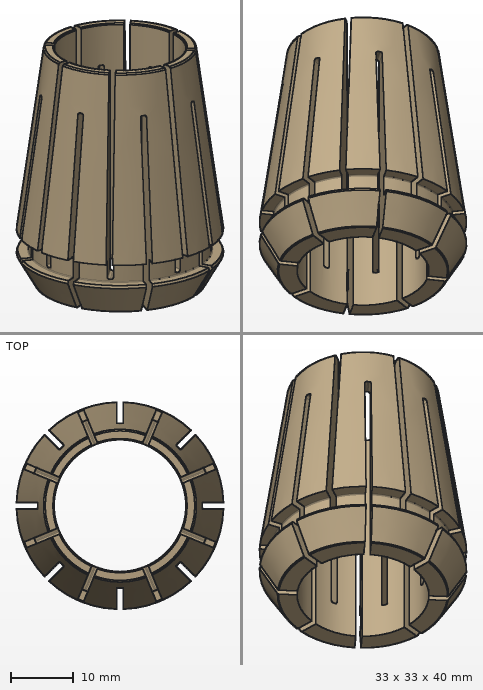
import cadquery as cq
import math

height = 40.0
max_radius = 16.5
bore_radius = 10.5
cone_half_angle = 8.0
collar_half_angle = 30.0

collar_edge_z = 5.1
groove_bottom_z = 5.5
groove_top_z = 9.05

groove_radius = 14.6
groove_corner_radius = 0.1
collar_top_radius = 16.3
rim_chamfer = 0.25
foot_chamfer = 0.1
bore_chamfer = 0.2

slots_per_row = 8
slot_pitch = 360 / slots_per_row
slot_width = 1.0
slot_corner_radius = 0.4
lower_slot_end_z = 33.05
upper_slot_end_z = 5.9
slot_start_radius = bore_radius / 2
slot_reach = max_radius
slot_overrun = 2.0

collar_slope = math.tan(math.radians(collar_half_angle))
cone_slope = math.tan(math.radians(cone_half_angle))
top_radius = max_radius - (height - groove_top_z) * cone_slope
bottom_radius = max_radius - collar_edge_z * collar_slope


def make_body():
    """Revolve the tapered sleeve with its groove and clamping collar."""
    corner = groove_corner_radius
    profile = (
        cq.Workplane("XZ")
        .moveTo(bore_radius, 0)
        .lineTo(bottom_radius - foot_chamfer, 0)
        .lineTo(bottom_radius + foot_chamfer * collar_slope, foot_chamfer)
        .lineTo(max_radius, collar_edge_z)
        .lineTo(collar_top_radius, groove_bottom_z)
        .lineTo(groove_radius + corner, groove_bottom_z)
        .tangentArcPoint((-corner, corner))
        .lineTo(groove_radius, groove_top_z - corner)
        .tangentArcPoint((corner, corner))
        .lineTo(max_radius, groove_top_z)
        .lineTo(top_radius + rim_chamfer * cone_slope, height - rim_chamfer)
        .lineTo(top_radius - rim_chamfer, height)
        .lineTo(bore_radius + bore_chamfer, height)
        .lineTo(bore_radius, height - bore_chamfer)
        .close()
    )
    return profile.revolve(360, (0, 0, 0), (0, 1, 0))


def slot_cutter(open_z, closed_z, angle):
    """Radial cutter with a rounded closed end, turned to the given angle about Z."""
    middle_z = (open_z + closed_z) / 2
    closed_face = ">Z" if closed_z > open_z else "<Z"
    cutter = (
        cq.Workplane("XY")
        .box(slot_reach, slot_width, abs(open_z - closed_z), centered=(False, True, True))
        .translate((slot_start_radius, 0, middle_z))
        .faces(closed_face)
        .edges("|X")
        .fillet(slot_corner_radius)
    )
    return cutter.rotate((0, 0, 0), (0, 0, 1), angle)


result = make_body()
for index in range(slots_per_row):
    lower_angle = index * slot_pitch
    upper_angle = lower_angle + slot_pitch / 2
    result = result.cut(slot_cutter(-slot_overrun, lower_slot_end_z, lower_angle))
    result = result.cut(slot_cutter(height + slot_overrun, upper_slot_end_z, upper_angle))